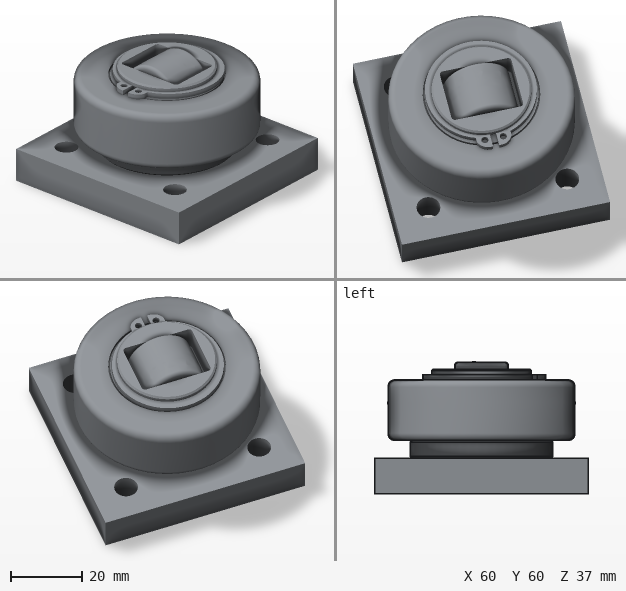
import cadquery as cq
import math

plate_side = 60
plate_thickness = 10.0
plate_hole_diameter = 6.65
plate_hole_spacing = 40.0

spacer_diameter = 40.0
spacer_height = 5.0
spacer_chamfer = 0.5

roller_diameter = 52.5
roller_height = 17.0
roller_fillet = 2.0
roller_crown = 0.05

gap_outer_diameter = 33
gap_inner_diameter = 32.0
gap_depth = 1.0

pin_diameter = 28.0
pin_height = 3
pin_chamfer = 0.5

clip_thickness = 1.5
clip_inner_diameter = 26.6
clip_outer_radius = 15.7
clip_offset = 0.7
clip_opening = 1.8
ear_half_width = 5.0
ear_root = 12
ear_shoulder = 15.6
ear_tip_radius = 18
ear_tip_half_width = 2.45
ear_arc_x = 3.95
ear_arc_y = 17.05
ear_hole_x = 2.65
ear_hole_y = 15.4
ear_hole_diameter = 2.0

pocket_length = 20.65
pocket_width = 16.0
pocket_corner_radius = 1.0
side_roller_diameter = 19.2
side_roller_length = 15
side_roller_fillet = 1.0
side_roller_crown = 0.05
total_height = 37.0

roller_bottom = plate_thickness + spacer_height
roller_top = roller_bottom + roller_height
clip_top = roller_top + clip_thickness
pin_top = roller_top + pin_height
side_roller_axis = total_height - side_roller_diameter / 2


def disc(diameter, bottom, height):
    """Vertical cylinder on the Z axis."""
    return cq.Workplane("XY").workplane(offset=bottom).circle(diameter / 2).extrude(height)


def make_plate():
    return (
        cq.Workplane("XY")
        .rect(plate_side, plate_side)
        .extrude(plate_thickness)
        .faces(">Z")
        .workplane()
        .rect(plate_hole_spacing, plate_hole_spacing, forConstruction=True)
        .vertices()
        .hole(plate_hole_diameter)
    )


def make_spacer():
    return disc(spacer_diameter, plate_thickness, spacer_height).edges().chamfer(spacer_chamfer)


def crowned_roller(diameter, length, fillet, crown):
    """Slightly barrel-shaped roller with rounded rims, centred on the origin along Z."""
    radius = diameter / 2
    edge_radius = radius - crown
    half_length = length / 2
    rim_radius = edge_radius - fillet
    rim_height = half_length - fillet
    diagonal = fillet * math.sqrt(0.5)
    return (
        cq.Workplane("XZ")
        .moveTo(0, -half_length)
        .lineTo(rim_radius, -half_length)
        .threePointArc((rim_radius + diagonal, -rim_height - diagonal), (edge_radius, -rim_height))
        .threePointArc((radius, 0), (edge_radius, rim_height))
        .threePointArc((rim_radius + diagonal, rim_height + diagonal), (rim_radius, half_length))
        .lineTo(0, half_length)
        .close()
        .revolve(360, (0, 0, 0), (0, 1, 0))
    )


def make_main_roller():
    roller = crowned_roller(roller_diameter, roller_height, roller_fillet, roller_crown)
    roller = roller.translate((0, 0, roller_bottom + roller_height / 2))
    gap = (
        cq.Workplane("XY")
        .workplane(offset=roller_top - gap_depth)
        .circle(gap_outer_diameter / 2)
        .circle(gap_inner_diameter / 2)
        .extrude(gap_depth)
    )
    return roller.cut(gap)


def make_pin():
    core = disc(clip_inner_diameter, roller_top, pin_height - pin_chamfer)
    head = disc(pin_diameter, clip_top, pin_top - clip_top).faces(">Z").edges().chamfer(pin_chamfer)
    return core.union(head)


def make_clip_ear(side):
    """Lug at one end of the clip; side is -1 or 1 along X."""
    inner_x = side * clip_opening / 2
    outer_x = side * ear_half_width
    tip_x = side * ear_tip_half_width
    tip_y = -math.sqrt(ear_tip_radius**2 - ear_tip_half_width**2)
    end_y = -math.sqrt(ear_tip_radius**2 - (clip_opening / 2) ** 2)
    middle_x = side * (clip_opening / 2 + ear_tip_half_width) / 2
    middle_y = -math.sqrt(ear_tip_radius**2 - middle_x**2)
    lug = (
        cq.Workplane("XY")
        .workplane(offset=roller_top)
        .moveTo(inner_x, -ear_root)
        .lineTo(outer_x, -ear_root)
        .lineTo(outer_x, -ear_shoulder)
        .threePointArc((side * ear_arc_x, -ear_arc_y), (tip_x, tip_y))
        .threePointArc((middle_x, middle_y), (inner_x, end_y))
        .close()
        .extrude(clip_thickness)
    )
    hole = disc(ear_hole_diameter, roller_top, clip_thickness)
    return lug.cut(hole.translate((side * ear_hole_x, -ear_hole_y, 0)))


def make_clip():
    ring = disc(2 * clip_outer_radius, roller_top, clip_thickness).translate((0, clip_offset, 0))
    ears = make_clip_ear(-1).union(make_clip_ear(1))
    ear_space = (
        cq.Workplane("XY")
        .workplane(offset=roller_top)
        .center(0, -clip_outer_radius)
        .rect(2 * ear_half_width, 2 * (clip_outer_radius - ear_root))
        .extrude(clip_thickness)
    )
    return ring.cut(ear_space).union(ears)


def make_pocket():
    return (
        cq.Workplane("XY")
        .workplane(offset=side_roller_axis)
        .rect(pocket_length, pocket_width)
        .extrude(pin_top - side_roller_axis)
        .edges("|Z")
        .fillet(pocket_corner_radius)
    )


def make_side_roller():
    roller = crowned_roller(
        side_roller_diameter, side_roller_length, side_roller_fillet, side_roller_crown
    )
    return roller.rotate((0, 0, 0), (1, 0, 0), 90).translate((0, 0, side_roller_axis))


result = (
    make_plate()
    .union(make_spacer())
    .union(make_main_roller())
    .union(make_clip())
    .union(make_pin())
    .cut(make_pocket())
    .union(make_side_roller())
)